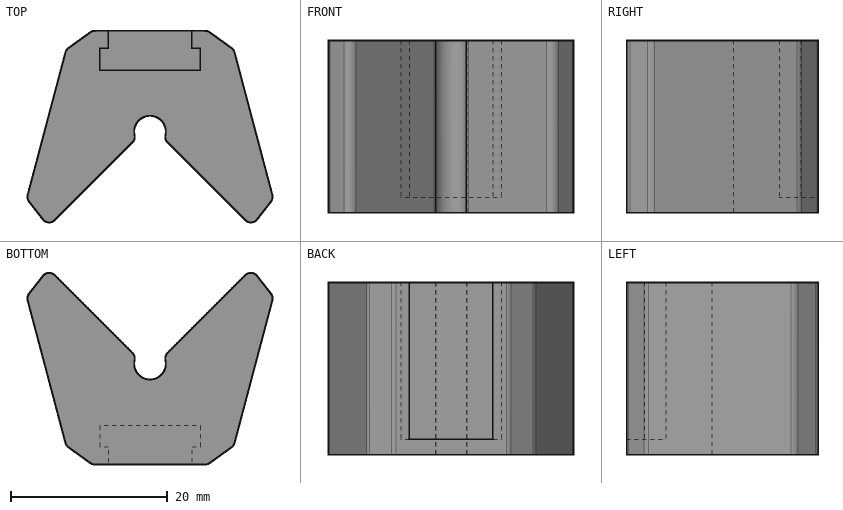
import cadquery as cq
import math

height = 22.0

back_half_width = 7.35
shoulder_half_width = 10.7
shoulder_depth = 2.4
flank_half_width = 15.75
flank_depth = 21.4
tip_half_width = 12.95
corner_radius = 1.0

groove_apex_depth = 12.02
tip_depth = groove_apex_depth + tip_half_width
relief_radius = 2.0
relief_center_depth = 12.85
relief_edge_radius = 1.0

mouth_width = 10.7
mouth_depth = 2.25
slot_width = 12.77
slot_depth = 5.0
floor_thickness = 2.0


def round_upright_edges(body, places, radius):
    """Fillet the vertical edge at each (x, y) place."""
    for x, y in places:
        edge = cq.selectors.NearestToPointSelector((x, y, height / 2))
        body = body.edges("|Z").edges(edge).fillet(radius)
    return body


def make_body():
    """Symmetric V block with rounded outer corners."""
    right_side = [
        (back_half_width, 0),
        (shoulder_half_width, -shoulder_depth),
        (flank_half_width, -flank_depth),
        (tip_half_width, -tip_depth),
    ]
    left_side = [(-x, y) for x, y in reversed(right_side)]
    outline = right_side + [(0, -groove_apex_depth)] + left_side
    body = cq.Workplane("XY").polyline(outline).close().extrude(height)
    return round_upright_edges(body, right_side + left_side, corner_radius)


def cut_relief(body):
    """Round channel at the groove root, with its two edges softened."""
    channel = cq.Workplane("XY").center(0, -relief_center_depth).circle(relief_radius).extrude(height)
    body = body.cut(channel)

    offset = relief_center_depth - groove_apex_depth
    edge_x = (offset + math.sqrt(2 * relief_radius**2 - offset**2)) / 2
    edge_y = -groove_apex_depth - edge_x
    return round_upright_edges(body, [(-edge_x, edge_y), (edge_x, edge_y)], relief_edge_radius)


def make_slot():
    """Solid to remove for the T-slot: narrow mouth and wider inner part."""
    slot_plane = cq.Workplane("XY").workplane(offset=floor_thickness)
    slot_height = height - floor_thickness
    mouth = slot_plane.center(0, -slot_depth / 2).rect(mouth_width, slot_depth).extrude(slot_height)
    inner_length = slot_depth - mouth_depth
    inner_center = -(mouth_depth + slot_depth) / 2
    inner = slot_plane.center(0, inner_center).rect(slot_width, inner_length).extrude(slot_height)
    return mouth.union(inner)


result = cut_relief(make_body()).cut(make_slot())